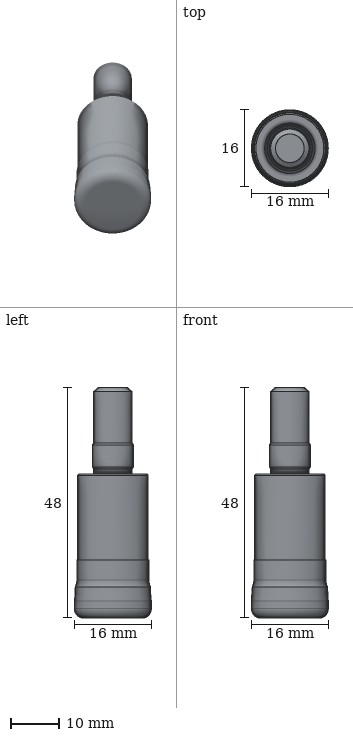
import cadquery as cq
import math

foot_diameter = 16.0
collar_diameter = 8.5
total_height = 48.0
foot_radius = foot_diameter / 2
waist_radius = 7.5
barrel_radius = 7.35
shaft_radius = 4.0
collar_radius = collar_diameter / 2
bore_radius = 4.7

foot_edge_radius = 2.0
foot_top = 3.6
flare_bottom = 6.5
flare_top = 7.95
waist_top = 12.1
housing_top = 30.0
bore_bottom = 16.0

flare_radius = 7.8
rim_chamfer = 0.3
bore_chamfer_width = 0.55
bore_chamfer_depth = 0.35

neck_fillet = 0.55
pin_shoulder = housing_top - bore_chamfer_depth
neck_fillet_top = pin_shoulder + neck_fillet
neck_top = 31.0
collar_bottom = 31.5
collar_top = 36.0
collar_chamfer_top = 36.45
neck_radius = 4.0
tip_radius = 3.0
tip_chamfer_height = 0.9

ARC_MIDDLE = math.sqrt(0.5)


def revolve_profile(profile):
    """Turn a closed radius-height profile about the Z axis."""
    return profile.close().revolve(360, (0, 0, 0), (0, 1, 0))


def make_housing():
    """Barrel with a flared, rounded foot and a blind bore for the pin."""
    edge_center = foot_radius - foot_edge_radius
    edge_middle = (
        edge_center + foot_edge_radius * ARC_MIDDLE,
        foot_edge_radius * (1 - ARC_MIDDLE),
    )
    outline = (
        cq.Workplane("XZ")
        .moveTo(0, 0)
        .lineTo(edge_center, 0)
        .threePointArc(edge_middle, (foot_radius, foot_edge_radius))
        .lineTo(foot_radius, foot_top)
        .lineTo(flare_radius, flare_bottom)
    )
    flare_width = flare_radius - waist_radius
    flare_height = flare_top - flare_bottom
    flare_arc_radius = (flare_width**2 + flare_height**2) / (2 * flare_width)
    half_angle = math.asin(flare_height / flare_arc_radius) / 2
    flare_middle = (
        waist_radius + flare_arc_radius * (1 - math.cos(half_angle)),
        flare_top - flare_arc_radius * math.sin(half_angle),
    )
    outline = (
        outline.threePointArc(flare_middle, (waist_radius, flare_top))
        .lineTo(waist_radius, waist_top)
        .lineTo(barrel_radius, waist_top)
        .lineTo(barrel_radius, housing_top - rim_chamfer)
        .lineTo(barrel_radius - rim_chamfer, housing_top)
        .lineTo(bore_radius + bore_chamfer_width, housing_top)
        .lineTo(bore_radius, housing_top - bore_chamfer_depth)
        .lineTo(bore_radius, bore_bottom)
        .lineTo(0, bore_bottom)
    )
    return revolve_profile(outline)


def make_pin():
    """Stepped pin that fills the bore and rises through a neck and collar to a chamfered tip."""
    fillet_middle = (
        neck_radius + neck_fillet * (1 - ARC_MIDDLE),
        pin_shoulder + neck_fillet * (1 - ARC_MIDDLE),
    )
    outline = (
        cq.Workplane("XZ")
        .moveTo(0, bore_bottom)
        .lineTo(bore_radius, bore_bottom)
        .lineTo(bore_radius, pin_shoulder)
        .lineTo(neck_radius + neck_fillet, pin_shoulder)
        .threePointArc(fillet_middle, (neck_radius, neck_fillet_top))
        .lineTo(neck_radius, neck_top)
        .lineTo(collar_radius, collar_bottom)
        .lineTo(collar_radius, collar_top)
        .lineTo(shaft_radius, collar_chamfer_top)
        .lineTo(shaft_radius, total_height - tip_chamfer_height)
        .lineTo(tip_radius, total_height)
        .lineTo(0, total_height)
    )
    return revolve_profile(outline)


housing = make_housing()
pin = make_pin()

result = cq.Compound.makeCompound([housing.val(), pin.val()])